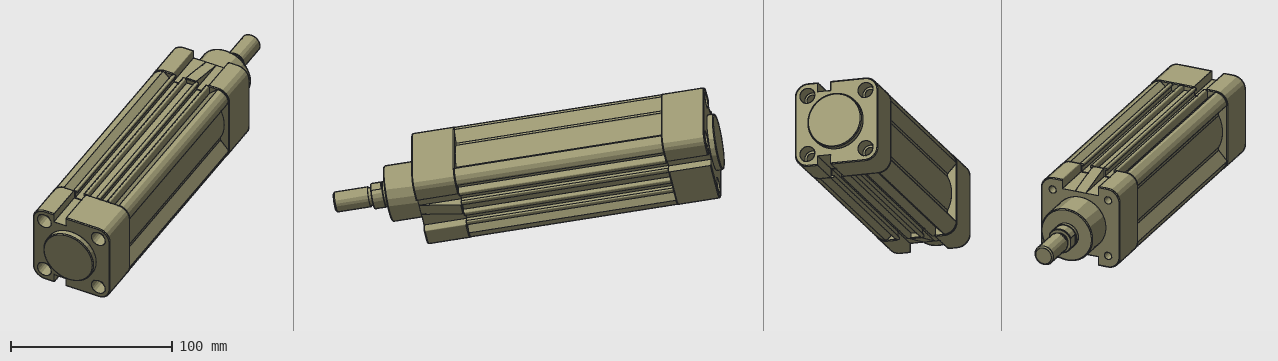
import cadquery as cq
SIDE = 54.0
TUBE_SIDE = 53.7
HALF_SIDE = SIDE / 2
CORNER_RADIUS = 8.3
TOTAL_LENGTH = 243.0
PILOT_LENGTH = 4.1
CAP_LENGTH = 27.0
BODY_LENGTH = 185.0
BEARING_LENGTH = 20.0
SEAL_LENGTH = 2.5

CAP_REAR_Y = PILOT_LENGTH
TUBE_REAR_Y = CAP_REAR_Y + CAP_LENGTH
BODY_FRONT_Y = CAP_REAR_Y + BODY_LENGTH
TUBE_FRONT_Y = BODY_FRONT_Y - CAP_LENGTH
BEARING_FRONT_Y = BODY_FRONT_Y + BEARING_LENGTH
ROD_START_Y = BEARING_FRONT_Y + SEAL_LENGTH

COLLAR_RADIUS = 17.5
COLLAR_CHAMFER = 0.6
CAP_CHAMFER = 0.6

BARREL_RADIUS = 23.5
GROOVE_HALF_MOUTH = 19.5
GROOVE_HALF_FLOOR = 13.0
GROOVE_FLOOR_OFFSET = 21.0
ROOT_OVERLAP = 2.5

SLOT_OFFSET = 8.0
TOWER_WIDTH = 10.2
TOWER_EDGE_RADIUS = 1.0
NECK_EDGE_RADIUS = 0.7
SLOT_NECK_WIDTH = 4.9
SLOT_LIP_THICKNESS = 1.5
SLOT_WIDTH = 7.0
SLOT_FLOOR_OFFSET = 21.5
CAP_SLOT_WIDTH = 8.5
CAP_SLOT_FLOOR_OFFSET = 21.0
RAMP_EDGE_RADIUS = 0.7
RAMP_WIDTH = 7.3
CAP_SLOT_EDGE_RADIUS = 0.7

HOLE_OFFSET = 19.0
THROUGH_RADIUS = 2.5
THREAD_RADIUS = 3.5
COUNTERBORE_RADIUS = 4.9
COUNTERBORE_DEPTH = 9.7

ROD_RADIUS = 8.0
FLAT_OFFSET = 7.3
FLAT_LENGTH = 6.5
ROD_CHAMFER = 0.36
FLAT_GAP = 1.0
ROD_THREAD_RADIUS = 6.3
ROD_THREAD_CHAMFER = 1.0
UNDERCUT_RADIUS = 5.5
UNDERCUT_LENGTH = 2.2


def axis_plane(y):
    """Plane across the axis at y: local x is X, local y is Z, negative extrusion runs toward +Y."""
    return cq.Workplane(cq.Plane(origin=(0, y, 0), xDir=(1, 0, 0), normal=(0, -1, 0)))


def disc(radius, y_start, y_end):
    return axis_plane(y_start).circle(radius).extrude(y_start - y_end)


def block(x_min, x_max, y_min, y_max, z_min, z_max):
    size = (x_max - x_min, y_max - y_min, z_max - z_min)
    return cq.Workplane().box(*size, centered=False).translate((x_min, y_min, z_min))


def rounded_prism(side, y_start, y_end):
    prism = axis_plane(y_start).rect(side, side).extrude(y_start - y_end)
    return prism.edges("|Y").fillet(CORNER_RADIUS)


def on_both_sides(top):
    """The given shape on the +Z side together with its mirror image on the -Z side."""
    return top.union(top.mirror("XY"))


def end_cap(y_start, y_end):
    return rounded_prism(SIDE, y_start, y_end).faces("<Y or >Y").chamfer(CAP_CHAMFER)


def face_groove():
    """Groove along the +X face, leaving the barrel wall standing as a bulge in the middle."""
    groove = (
        axis_plane(TUBE_REAR_Y)
        .moveTo(HALF_SIDE, -GROOVE_HALF_MOUTH)
        .lineTo(GROOVE_FLOOR_OFFSET, -GROOVE_HALF_FLOOR)
        .lineTo(GROOVE_FLOOR_OFFSET, GROOVE_HALF_FLOOR)
        .lineTo(HALF_SIDE, GROOVE_HALF_MOUTH)
        .close()
        .extrude(TUBE_REAR_Y - TUBE_FRONT_Y)
    )
    return groove.cut(disc(BARREL_RADIUS, TUBE_REAR_Y, TUBE_FRONT_Y))


def tower(x):
    """Post standing in the groove that carries one T-slot."""
    half = TOWER_WIDTH / 2
    root_z = GROOVE_FLOOR_OFFSET - ROOT_OVERLAP
    post = block(x - half, x + half, TUBE_REAR_Y, TUBE_FRONT_Y, root_z, TUBE_SIDE / 2)
    return post.edges("|Y and >Z").fillet(TOWER_EDGE_RADIUS)


def t_slot(x):
    """T-shaped slot along the tube, with rounded edges where its neck opens."""
    half_neck = SLOT_NECK_WIDTH / 2
    half_slot = SLOT_WIDTH / 2
    half_mouth = half_neck + NECK_EDGE_RADIUS
    top = TUBE_SIDE / 2
    lip_z = top - SLOT_LIP_THICKNESS
    round_z = top - NECK_EDGE_RADIUS
    profile = (
        axis_plane(TUBE_REAR_Y)
        .moveTo(x - half_slot, SLOT_FLOOR_OFFSET)
        .lineTo(x + half_slot, SLOT_FLOOR_OFFSET)
        .lineTo(x + half_slot, lip_z)
        .lineTo(x + half_neck, lip_z)
        .lineTo(x + half_neck, round_z)
        .radiusArc((x + half_mouth, top), NECK_EDGE_RADIUS)
        .lineTo(x - half_mouth, top)
        .radiusArc((x - half_neck, round_z), NECK_EDGE_RADIUS)
        .lineTo(x - half_neck, lip_z)
        .lineTo(x - half_slot, lip_z)
        .close()
    )
    return profile.extrude(TUBE_REAR_Y - TUBE_FRONT_Y)


def tube():
    profile = rounded_prism(TUBE_SIDE, TUBE_REAR_Y, TUBE_FRONT_Y)
    groove = face_groove()
    for quarter in range(4):
        profile = profile.cut(groove.rotate((0, 0, 0), (0, 1, 0), 90 * quarter))
    for x in (-SLOT_OFFSET, SLOT_OFFSET):
        profile = profile.union(on_both_sides(tower(x)))
        profile = profile.cut(on_both_sides(t_slot(x)))
    return profile


def rear_cap():
    half = CAP_SLOT_WIDTH / 2
    x_min, x_max = -SLOT_OFFSET - half, -SLOT_OFFSET + half
    slot = block(x_min, x_max, CAP_REAR_Y, TUBE_REAR_Y, CAP_SLOT_FLOOR_OFFSET, HALF_SIDE)
    return end_cap(CAP_REAR_Y, TUBE_REAR_Y).cut(on_both_sides(slot))


def ramp():
    """Wedge between the two front slots, rising from the slot floor up to the tube."""
    base_z = CAP_SLOT_FLOOR_OFFSET - ROOT_OVERLAP
    wedge = (
        cq.Workplane("YZ", origin=(-RAMP_WIDTH / 2, 0, 0))
        .moveTo(BODY_FRONT_Y, CAP_SLOT_FLOOR_OFFSET)
        .lineTo(TUBE_FRONT_Y, HALF_SIDE)
        .lineTo(TUBE_FRONT_Y, base_z)
        .lineTo(BODY_FRONT_Y, base_z)
        .close()
        .extrude(RAMP_WIDTH)
    )
    wedge = wedge.faces("<Y").edges(">Z").chamfer(CAP_CHAMFER)
    return wedge.faces(">Z").edges("not |X").fillet(RAMP_EDGE_RADIUS)


def front_channel():
    """Channel holding both front slots, with its outer top edges rounded over."""
    half = SLOT_OFFSET + CAP_SLOT_WIDTH / 2
    half_mouth = half + CAP_SLOT_EDGE_RADIUS
    round_z = HALF_SIDE - CAP_SLOT_EDGE_RADIUS
    profile = (
        axis_plane(TUBE_FRONT_Y)
        .moveTo(-half, CAP_SLOT_FLOOR_OFFSET)
        .lineTo(half, CAP_SLOT_FLOOR_OFFSET)
        .lineTo(half, round_z)
        .radiusArc((half_mouth, HALF_SIDE), CAP_SLOT_EDGE_RADIUS)
        .lineTo(-half_mouth, HALF_SIDE)
        .radiusArc((-half, round_z), CAP_SLOT_EDGE_RADIUS)
        .close()
    )
    return profile.extrude(TUBE_FRONT_Y - BODY_FRONT_Y)


def front_cap():
    cap = end_cap(TUBE_FRONT_Y, BODY_FRONT_Y).cut(on_both_sides(front_channel()))
    return cap.union(on_both_sides(ramp()))


def screw_hole(x, z):
    through = disc(THROUGH_RADIUS, CAP_REAR_Y, BODY_FRONT_Y)
    thread = disc(THREAD_RADIUS, CAP_REAR_Y, TUBE_REAR_Y)
    counterbore = disc(COUNTERBORE_RADIUS, CAP_REAR_Y, CAP_REAR_Y + COUNTERBORE_DEPTH)
    return through.union(thread).union(counterbore).translate((x, 0, z))


def make_housing():
    pilot = disc(COLLAR_RADIUS, 0, TUBE_REAR_Y).faces("<Y").chamfer(COLLAR_CHAMFER)
    bearing = disc(COLLAR_RADIUS, TUBE_FRONT_Y, BEARING_FRONT_Y).faces(">Y").chamfer(COLLAR_CHAMFER)
    seal = disc(ROD_RADIUS, TUBE_FRONT_Y, ROD_START_Y)
    housing = tube().union(rear_cap()).union(front_cap()).union(pilot).union(bearing).union(seal)
    for x in (-HOLE_OFFSET, HOLE_OFFSET):
        for z in (-HOLE_OFFSET, HOLE_OFFSET):
            housing = housing.cut(screw_hole(x, z))
    return housing


def make_rod():
    flat_start = ROD_START_Y + FLAT_GAP
    shoulder_y = flat_start + FLAT_LENGTH
    thread_start = shoulder_y + UNDERCUT_LENGTH
    rod = disc(ROD_RADIUS, ROD_START_Y, shoulder_y).faces("<Y or >Y").chamfer(ROD_CHAMFER)
    for side in (-1, 1):
        x_min, x_max = sorted((side * FLAT_OFFSET, side * 2 * ROD_RADIUS))
        rod = rod.cut(block(x_min, x_max, flat_start, shoulder_y, -ROD_RADIUS, ROD_RADIUS))
    undercut = disc(UNDERCUT_RADIUS, shoulder_y, thread_start)
    thread = disc(ROD_THREAD_RADIUS, thread_start, TOTAL_LENGTH).faces(">Y").chamfer(ROD_THREAD_CHAMFER)
    return rod.union(undercut).union(thread)


housing = make_housing()
rod = make_rod()
result = cq.Compound.makeCompound([housing.val(), rod.val()])